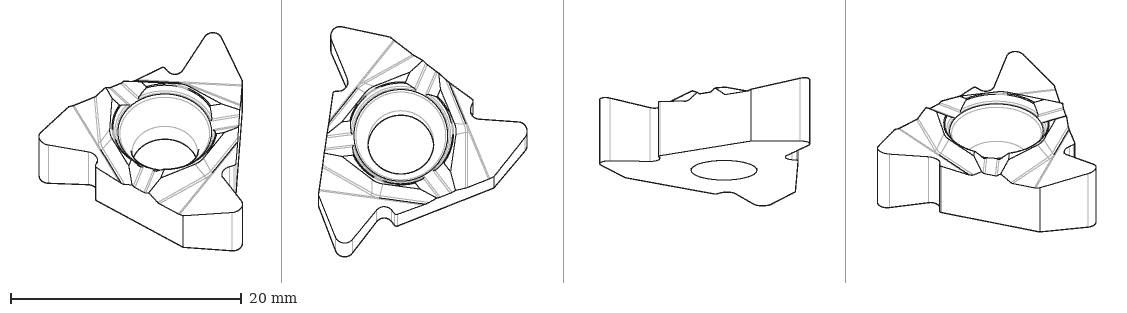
import cadquery as cq
import math

SECTOR_STEP = 120
SECTOR_ANGLES = (0, SECTOR_STEP, 2 * SECTOR_STEP)
OVERALL_Y = 18.99
TOP_Z = 5.85
FLOOR_Z = 4.6
FAR = 15.2

SIDE_DISTANCE = 6.36
TOOTH_ROOT_Y = -6.13
HALF_ANGLE = math.radians(29)
TOOTH_X = -3.59
TIP_RADIUS = 0.85
TIP_Y = -(OVERALL_Y + TOOTH_X * math.sin(math.radians(60)) - TIP_RADIUS / 2) / 1.5
NOTCH_RADIUS = 0.82
NOTCH_CENTRE_Y = -7.22
HEEL_RADIUS = 0.23

RAKE_START_Y = -5.7
RAKE_ANGLE = math.radians(15)
RAKE_BLEND_RADIUS = 0.44
WEDGE_HALF_LENGTH = 6.45

BOSS_TOP_WALLS = ((-120, 4.75), (-90, 4.65))
BOSS_BASE_WALLS = ((-112, 5.68), (-90, 5.55))
BOSS_BEND_RADIUS = 1.9
BOSS_FOOT_RADIUS = 0.23

SLOT_ANGLE = -45
SLOT_OFFSET = -0.11
SLOT_FLOOR_Z = 5.05
SLOT_FLOOR_HALF_WIDTH = 0.55
SLOT_TOP_HALF_WIDTH = 1.52
SLOT_CORNER_RADIUS = 0.27

HOLE_RADIUS = 2.85
SEAT_START_Z = 1.94
SEAT_RADIUS = 3.9
SEAT_Z = 4.8
SEAT_CURVE_RADIUS = 4.55
RECESS_RADIUS = 4.3
RECESS_TOP_RADIUS = 4.5
RECESS_FILLET_RADIUS = 0.15
LEDGE_WIDTH = 0.23
RIM_FILLET_RADIUS = 0.1


def polar(radius, degrees):
    angle = math.radians(degrees)
    return (radius * math.cos(angle), radius * math.sin(angle))


def rotated(point, degrees):
    x, y = point
    c, s = polar(1, degrees)
    return (x * c - y * s, x * s + y * c)


def wall_crossing(wall_a, wall_b):
    """Point where two straight walls, given as (normal angle, distance), meet."""
    ax, ay = polar(1, wall_a[0])
    bx, by = polar(1, wall_b[0])
    det = ax * by - ay * bx
    return ((wall_a[1] * by - wall_b[1] * ay) / det, (ax * wall_b[1] - bx * wall_a[1]) / det)


def sector_outline():
    """Points of one sector: flank start, tip arc, notch arc and sharp heel corner."""
    c, s = math.cos(HALF_ANGLE), math.sin(HALF_ANGLE)
    tip_centre_y = TIP_Y + TIP_RADIUS
    flank_y = tip_centre_y - TIP_RADIUS * s
    tip_half_width = TIP_RADIUS * c
    notch_start_y = NOTCH_CENTRE_Y + NOTCH_RADIUS * s
    notch_start_x = TOOTH_X + tip_half_width + (notch_start_y - flank_y) * math.tan(HALF_ANGLE)
    notch_x = notch_start_x + NOTCH_RADIUS * c
    notch_offset = NOTCH_RADIUS * math.sqrt(0.5)
    notch_end = (notch_x + notch_offset, NOTCH_CENTRE_Y + notch_offset)
    exit_distance = (notch_end[0] + notch_end[1]) * math.sqrt(0.5)
    heel = wall_crossing((-60, SIDE_DISTANCE), (45, exit_distance))
    return [
        (-SIDE_DISTANCE, TOOTH_ROOT_Y),
        (TOOTH_X - tip_half_width, flank_y),
        (TOOTH_X, TIP_Y),
        (TOOTH_X + tip_half_width, flank_y),
        (notch_start_x, notch_start_y),
        (notch_x, NOTCH_CENTRE_Y + NOTCH_RADIUS),
        notch_end,
        heel,
    ]


def prism():
    """Full-height body with the three-toothed plan outline."""
    points = sector_outline()
    last_heel = rotated(points[-1], -SECTOR_STEP)
    outline = cq.Workplane("XY").moveTo(*last_heel)
    for turn in SECTOR_ANGLES:
        root, tip_start, tip, tip_end, notch_start, notch_top, notch_end, heel = [
            rotated(point, turn) for point in points
        ]
        outline = outline.lineTo(*root).lineTo(*tip_start).threePointArc(tip, tip_end)
        outline = outline.lineTo(*notch_start).threePointArc(notch_top, notch_end)
        if turn != SECTOR_ANGLES[-1]:
            outline = outline.lineTo(*heel)
    body = outline.close().extrude(TOP_Z)
    for turn in SECTOR_ANGLES:
        x, y = rotated(points[-1], turn)
        heel_edge = cq.selectors.NearestToPointSelector((x, y, TOP_Z / 2))
        body = body.edges(heel_edge).fillet(HEEL_RADIUS)
    return body


def boss_wire(walls, z):
    """Closed six-sided outline; the bend between the two walls of a sector is rounded."""
    outline = cq.Workplane("XY", origin=(0, 0, z))
    first_angle, first_distance = walls[0]
    second_angle, second_distance = walls[1]
    bend = wall_crossing(*walls)
    half_turn = math.radians(second_angle - first_angle) / 2
    setback = BOSS_BEND_RADIUS * math.tan(half_turn)
    sagitta = BOSS_BEND_RADIUS * (1 / math.cos(half_turn) - 1)
    mid_x, mid_y = polar(sagitta, (first_angle + second_angle) / 2)
    dx1, dy1 = polar(setback, first_angle + 90)
    dx2, dy2 = polar(setback, second_angle + 90)
    arc_start = (bend[0] - dx1, bend[1] - dy1)
    arc_mid = (bend[0] - mid_x, bend[1] - mid_y)
    arc_end = (bend[0] + dx2, bend[1] + dy2)
    corner = wall_crossing((second_angle, second_distance), (first_angle + SECTOR_STEP, first_distance))
    outline = outline.moveTo(*rotated(corner, -SECTOR_STEP))
    for turn in SECTOR_ANGLES:
        outline = outline.lineTo(*rotated(arc_start, turn))
        outline = outline.threePointArc(rotated(arc_mid, turn), rotated(arc_end, turn))
        if turn != SECTOR_ANGLES[-1]:
            outline = outline.lineTo(*rotated(corner, turn))
    return outline.close().val()


def boss_on_floor():
    """Unbounded chip floor with the sloping-sided boss on it and a rounded foot between them."""
    slab = cq.Workplane("XY").circle(FAR).extrude(FLOOR_Z)
    wires = [boss_wire(BOSS_BASE_WALLS, FLOOR_Z), boss_wire(BOSS_TOP_WALLS, TOP_Z)]
    boss = cq.Workplane(cq.Solid.makeLoft(wires, True))
    joined = slab.union(boss)
    floor = joined.faces(cq.selectors.NearestToPointSelector((0, 0, FLOOR_Z))).val()
    foot_edges = [edge for wire in floor.innerWires() for edge in wire.Edges()]
    return joined.newObject(foot_edges).fillet(BOSS_FOOT_RADIUS)


def tooth_wedge():
    """Material under one tooth's rising top, profiled in YZ and run along X."""
    setback = RAKE_BLEND_RADIUS * math.tan(RAKE_ANGLE / 2)
    half = RAKE_ANGLE / 2
    start_y = RAKE_START_Y + setback
    mid = (
        start_y - RAKE_BLEND_RADIUS * math.sin(half),
        FLOOR_Z + RAKE_BLEND_RADIUS * (1 - math.cos(half)),
    )
    end = (
        RAKE_START_Y - setback * math.cos(RAKE_ANGLE),
        FLOOR_Z + setback * math.sin(RAKE_ANGLE),
    )
    far_z = FLOOR_Z + (FAR + RAKE_START_Y) * math.tan(RAKE_ANGLE)
    return (
        cq.Workplane("YZ")
        .moveTo(start_y, 0)
        .lineTo(start_y, FLOOR_Z)
        .threePointArc(mid, end)
        .lineTo(-FAR, far_z)
        .lineTo(-FAR, 0)
        .close()
        .extrude(WEDGE_HALF_LENGTH, both=True)
    )


def slot_cutter():
    """One radial slot: flat floor, sloping sides and rounded floor corners."""
    profile = [
        (SLOT_OFFSET - SLOT_TOP_HALF_WIDTH, TOP_Z),
        (SLOT_OFFSET - SLOT_FLOOR_HALF_WIDTH, SLOT_FLOOR_Z),
        (SLOT_OFFSET + SLOT_FLOOR_HALF_WIDTH, SLOT_FLOOR_Z),
        (SLOT_OFFSET + SLOT_TOP_HALF_WIDTH, TOP_Z),
    ]
    slot = cq.Workplane("YZ").polyline(profile).close().extrude(FAR)
    slot = slot.faces("<Z").edges("|X").fillet(SLOT_CORNER_RADIUS)
    return slot.rotate((0, 0, 0), (0, 0, 1), SLOT_ANGLE)


def screw_seat_cutter():
    """Through hole, flaring seat with a rounded lip, and the conical recess above it."""
    seat = (
        cq.Workplane("XZ")
        .lineTo(HOLE_RADIUS, 0)
        .lineTo(HOLE_RADIUS, SEAT_START_Z)
        .radiusArc((SEAT_RADIUS, SEAT_Z), SEAT_CURVE_RADIUS)
        .tangentArcPoint((RECESS_RADIUS - LEDGE_WIDTH, SLOT_FLOOR_Z), relative=False)
        .lineTo(0, SLOT_FLOOR_Z)
        .close()
        .revolve(360, (0, 0, 0), (0, 1, 0))
    )
    recess = (
        cq.Workplane("XZ", origin=(0, 0, SLOT_FLOOR_Z))
        .lineTo(RECESS_RADIUS, 0)
        .lineTo(RECESS_TOP_RADIUS, TOP_Z - SLOT_FLOOR_Z)
        .lineTo(0, TOP_Z - SLOT_FLOOR_Z)
        .close()
        .revolve(360, (0, 0, 0), (0, 1, 0))
        .faces("<Z")
        .edges()
        .fillet(RECESS_FILLET_RADIUS)
    )
    return seat.union(recess)


def in_every_sector(shape):
    return [shape.rotate((0, 0, 0), (0, 0, 1), turn) for turn in SECTOR_ANGLES]


top_shape = boss_on_floor()
for wedge in in_every_sector(tooth_wedge()):
    top_shape = top_shape.union(wedge)

result = prism().intersect(top_shape).cut(screw_seat_cutter())
recess_rim = result.faces(">Z").edges("%CIRCLE").edges(cq.selectors.RadiusNthSelector(-1))
result = recess_rim.fillet(RIM_FILLET_RADIUS)
for slot in in_every_sector(slot_cutter()):
    result = result.cut(slot)